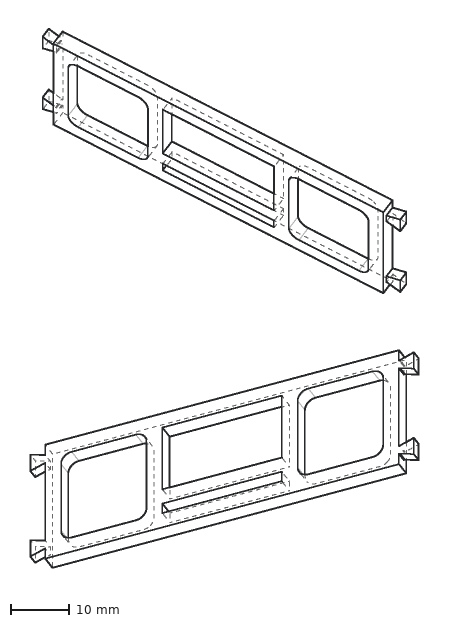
import cadquery as cq

OVERALL_LENGTH = 72.3
HEIGHT = 24.0
THICKNESS = 3.0

TAB_LENGTH = 2.8
TAB_DEPTH = 2.0
TAB_ROOT_WIDTH = 1.7
TAB_TIP_WIDTH = 3.45
LEFT_NECK_LENGTH = 0.2

BAR_WIDTH = 3.0
CENTRE_WINDOW_LENGTH = 22.5
SLOT_HEIGHT = 2.0
CORNER_RADIUS = 2.0

FRAME_LENGTH = OVERALL_LENGTH - 2 * TAB_LENGTH
OPENING_HEIGHT = HEIGHT - 2 * BAR_WIDTH
SIDE_WINDOW_LENGTH = (FRAME_LENGTH - CENTRE_WINDOW_LENGTH - 4 * BAR_WIDTH) / 2
SIDE_WINDOW_X = (CENTRE_WINDOW_LENGTH + SIDE_WINDOW_LENGTH) / 2 + BAR_WIDTH
CENTRE_WINDOW_HEIGHT = OPENING_HEIGHT - BAR_WIDTH - SLOT_HEIGHT
CENTRE_WINDOW_Z = (OPENING_HEIGHT - CENTRE_WINDOW_HEIGHT) / 2
SLOT_Z = (SLOT_HEIGHT - OPENING_HEIGHT) / 2
TAB_Z = OPENING_HEIGHT / 2


def block(length, height, x=0, z=0):
    """Block through the full plate thickness, centred at (x, z)."""
    return cq.Workplane("XY").box(length, THICKNESS, height).translate((x, 0, z))


def side_window(side):
    """Rounded opening on the left (-1) or right (+1)."""
    window = block(SIDE_WINDOW_LENGTH, OPENING_HEIGHT, side * SIDE_WINDOW_X)
    return window.edges("|Y").fillet(CORNER_RADIUS)


def tab_prism(outline):
    """Closed (x, z) outline extruded forward from the back face by the tab depth."""
    back_face = cq.Workplane("XZ", origin=(0, THICKNESS / 2, 0))
    return back_face.polyline(outline).close().extrude(TAB_DEPTH)


def dovetail_tab(side, z):
    """Tab on the left (-1) or right (+1) end, widening towards its tip."""
    root_x = side * FRAME_LENGTH / 2
    tip_x = side * OVERALL_LENGTH / 2
    taper_x = root_x - LEFT_NECK_LENGTH if side < 0 else root_x
    root_bottom = z - TAB_ROOT_WIDTH / 2
    root_top = z + TAB_ROOT_WIDTH / 2
    tab = tab_prism([
        (taper_x, root_bottom),
        (tip_x, z - TAB_TIP_WIDTH / 2),
        (tip_x, z + TAB_TIP_WIDTH / 2),
        (taper_x, root_top),
    ])
    if side < 0:
        neck = tab_prism([
            (root_x, root_bottom),
            (taper_x, root_bottom),
            (taper_x, root_top),
            (root_x, root_top),
        ])
        tab = tab.union(neck)
    return tab


frame = block(FRAME_LENGTH, HEIGHT)
frame = frame.cut(block(CENTRE_WINDOW_LENGTH, CENTRE_WINDOW_HEIGHT, z=CENTRE_WINDOW_Z))
frame = frame.cut(block(CENTRE_WINDOW_LENGTH, SLOT_HEIGHT, z=SLOT_Z))

for side in (-1, 1):
    frame = frame.cut(side_window(side))
    for tab_z in (-TAB_Z, TAB_Z):
        frame = frame.union(dovetail_tab(side, tab_z))

result = frame